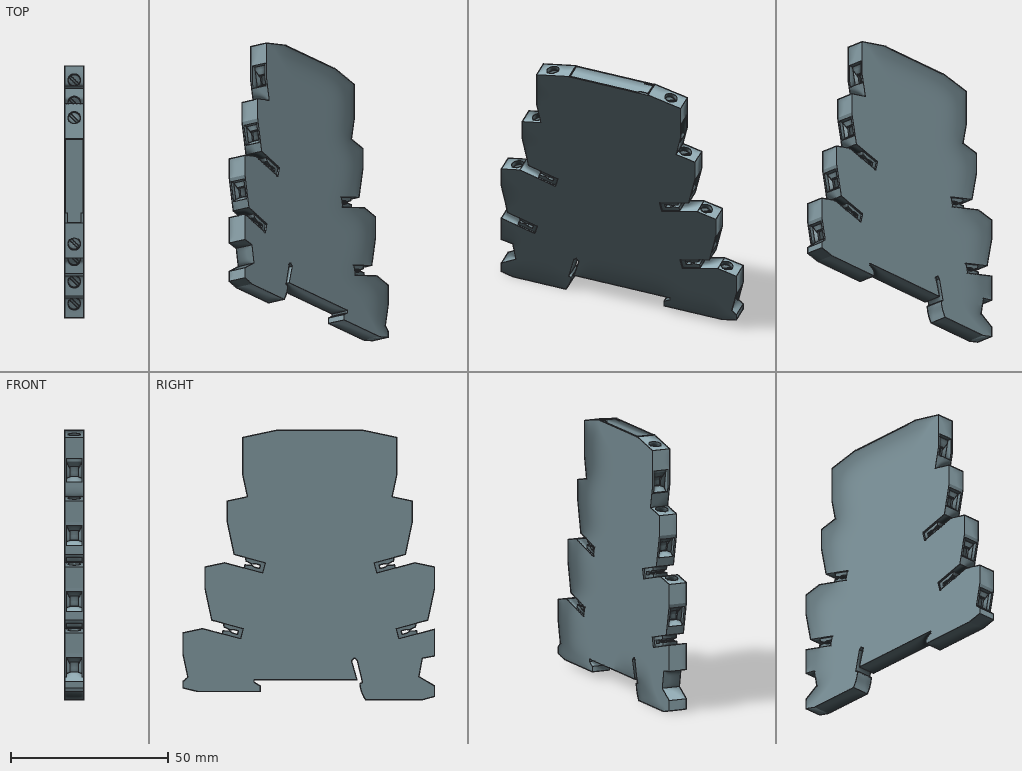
import cadquery as cq
import math

WIDTH = 6.1
LENGTH = 80.0
HEIGHT = 85.7
ROOF_HALF = 13.4
SHOULDER_ANGLE = 12.0
FACE_TAPER = 12.0
TIER_STEP_Y = 7.0
TIER_PITCH = 20.9

BASE_HALF = 43.5
BASE_CORNER_Z = 21.3
TOP_HALF = 24.5
TIER_1 = (TOP_HALF, HEIGHT - (TOP_HALF - ROOF_HALF) * math.tan(math.radians(SHOULDER_ANGLE)))
TIER_2 = (29.4, 63.15)
TIER_3 = (BASE_HALF - TIER_STEP_Y, BASE_CORNER_Z + TIER_PITCH)
TIER_4 = (BASE_HALF, BASE_CORNER_Z)
TOP_BEND_DROP = 11.8
BEND_DROP = 6.7
TOP_FACE_BOTTOM = 64.45
CREST_INSET = 6.3

SLOT_ANGLE = 15.0
SLOT_DEPTH = 12.5
SLOT_HEIGHT = 3.3
CLIP_WIDTH = 4.9
CLIP_LOWER_LENGTH = 6.1
CLIP_UPPER_LENGTH = 6.6
CLIP_LEG = 1.1
CLIP_BACK = 1.35
CLIP_BUMP = 0.4
BUMP_START, BUMP_PEAK, BUMP_END = 3.0, 4.0, 5.6

FIXED_SIDE_Y = -BASE_HALF
LATCH_SIDE_Y = LENGTH - BASE_HALF
RAIL_TOP_Z = 6.35
FIXED_FOOT_Z = 2.6
HOOK_TIP = (-18.85, 4.4)
HOOK_ROOT = (-20.85, 5.6)
SLIT_MOUTH_Y = 11.85
SLIT_END = [(10.1, 12.4), (11.05, 13.3), (11.85, 12.6)]
LATCH_NECK = (13.55, 5.5)
LATCH_TIP = (12.7, 5.2)
LATCH_NOSE = (13.3, 2.4)
LATCH_TOE_Y = 14.55
FIXED_EDGE_Z = 3.75
LATCH_EDGE_Z = 4.4
FOOT_TAPER_Y = 4.8
LATCH_UNDERSIDE = [(32.55, 0), (LATCH_SIDE_Y, 1.05)]
LATCH_GRIP = [(31.5, 7.4), (32.6, 13.2)]
LATCH_CEILING_Z = 13.9

SCREW_INSET = 4.4
SCREW_DIAMETER = 3.9
SCREW_RECESS = 1.5
DRIVER_SLOT_WIDTH = 0.8
DRIVER_SLOT_DEPTH = 0.5
DRIVER_SLOT_TURN = 45.0

ENTRY_WIDTH = 4.9
ENTRY_TOP_DROP = 7.8
TOP_TIER_ENTRY_DROP = 6.7
SILL_DROP = 14.1
SILL_ANGLE = 48.0
RECESS_DEPTH = 1.45
FUNNEL_DEPTH = 0.66
FUNNEL_TOP_ANGLE = 16.0
WINDOW_WIDTH = 2.6
WINDOW_TOP_DROP = 9.3
WINDOW_BOTTOM_DROP = 12.4
WINDOW_DEPTH = 1.5
WINDOW_LOWER_TAPER = 6.0

COVER_EDGE = 0.25
COVER_STEP = 0.15
COVER_TAB_WIDTH = 4.4
COVER_TAB_LENGTH = 3.0


def tan(angle):
    return math.tan(math.radians(angle))


def crest(tier):
    half, corner_z = tier
    return (half - CREST_INSET, corner_z + CREST_INSET * tan(SHOULDER_ANGLE))


def slot_point(tier, along, across):
    """Point in the slot above a tier: along from the slot end outward, across from its floor."""
    crest_y, crest_z = crest(tier)
    c = math.cos(math.radians(SLOT_ANGLE))
    s = math.sin(math.radians(SLOT_ANGLE))
    distance = along - SLOT_DEPTH
    return (crest_y + distance * c - across * s, crest_z + distance * s + across * c)


def lower_corner(tier, tier_below):
    """Where the leaning face of a tier meets the ceiling of the slot below it."""
    half, corner_z = tier
    bend_z = corner_z - BEND_DROP
    y, z = slot_point(tier_below, 0, SLOT_HEIGHT)
    lean = tan(FACE_TAPER)
    run = (half - (bend_z - z) * lean - y) / (1 - tan(SLOT_ANGLE) * lean)
    return (y + run, z + run * tan(SLOT_ANGLE))


def slotted_tier(tier, tier_below):
    half, corner_z = tier
    return [
        (half, corner_z),
        (half, corner_z - BEND_DROP),
        lower_corner(tier, tier_below),
        slot_point(tier_below, 0, SLOT_HEIGHT),
        slot_point(tier_below, 0, 0),
    ]


def upper_side():
    """Stepped edge of one side, from the roof down to the end of the lowest slot."""
    half_1, corner_1 = TIER_1
    half_2, corner_2 = TIER_2
    bend_1 = corner_1 - TOP_BEND_DROP
    neck = half_1 - (bend_1 - TOP_FACE_BOTTOM) * tan(FACE_TAPER)
    points = [
        (ROOF_HALF, HEIGHT),
        (half_1, corner_1),
        (half_1, bend_1),
        (neck, corner_2 + (half_2 - neck) * tan(SHOULDER_ANGLE)),
    ]
    points += slotted_tier(TIER_2, TIER_3)
    points.append(crest(TIER_3))
    points += slotted_tier(TIER_3, TIER_4)
    return points


def housing():
    side = upper_side()
    sill_z = BASE_CORNER_Z - SILL_DROP
    notch_depth = face_depth(SILL_DROP)
    fixed_side = [(-y, z) for y, z in side + [crest(TIER_4)]] + [
        (FIXED_SIDE_Y, BASE_CORNER_Z),
        (FIXED_SIDE_Y, BASE_CORNER_Z - BEND_DROP),
        (FIXED_SIDE_Y + notch_depth, sill_z),
        (FIXED_SIDE_Y, sill_z - notch_depth / tan(SILL_ANGLE)),
        (FIXED_SIDE_Y, FIXED_EDGE_Z),
        (FIXED_SIDE_Y + FOOT_TAPER_Y, FIXED_FOOT_Z),
        (HOOK_TIP[0], FIXED_FOOT_Z),
        HOOK_TIP,
        HOOK_ROOT,
        (HOOK_ROOT[0], RAIL_TOP_Z),
    ]
    latch_slit = [(SLIT_MOUTH_Y, RAIL_TOP_Z)] + SLIT_END + [LATCH_NECK, LATCH_TIP]
    cut_off_z = crest(TIER_4)[1] - (crest(TIER_4)[0] - LATCH_SIDE_Y) * tan(SLOT_ANGLE)
    latch_side = LATCH_UNDERSIDE + [(LATCH_SIDE_Y, LATCH_EDGE_Z)] + LATCH_GRIP
    latch_side += [(LATCH_SIDE_Y, LATCH_CEILING_Z), (LATCH_SIDE_Y, cut_off_z)]
    profile = cq.Workplane("YZ").polyline(fixed_side + latch_slit)
    profile = profile.threePointArc(LATCH_NOSE, (LATCH_TOE_Y, 0))
    for point in latch_side + side[::-1]:
        profile = profile.lineTo(*point)
    return profile.close().extrude(WIDTH / 2, both=True)


def mirrored(shape):
    return shape.mirror("XZ")


def marker_clip(tier):
    """U-shaped clip with snap bumps, seated at the end of the slot above a tier."""
    bumped_edge = [
        (BUMP_END, CLIP_LEG),
        (BUMP_PEAK, CLIP_LEG + CLIP_BUMP),
        (BUMP_START, CLIP_LEG),
        (CLIP_BACK, CLIP_LEG),
    ]
    lower_leg = [(0, 0), (CLIP_LOWER_LENGTH, 0), (CLIP_LOWER_LENGTH, CLIP_LEG)] + bumped_edge
    upper_tip = CLIP_UPPER_LENGTH - CLIP_LEG * tan(SLOT_ANGLE + FACE_TAPER)
    upper_leg = [(0, 0), (CLIP_UPPER_LENGTH, 0), (upper_tip, CLIP_LEG)] + bumped_edge
    outline = lower_leg + [(along, SLOT_HEIGHT - across) for along, across in upper_leg[::-1]]
    points = [slot_point(tier, along, across) for along, across in outline]
    return cq.Workplane("YZ").polyline(points).close().extrude(CLIP_WIDTH / 2, both=True)


def screw_recess(tier, turn):
    """Round recess square to the sloped face, with a diagonal driver slot in its floor."""
    half, corner_z = tier
    center = (0, half - SCREW_INSET, corner_z + SCREW_INSET * tan(SHOULDER_ANGLE))
    slope = math.radians(SHOULDER_ANGLE)
    plane = cq.Plane(origin=center, xDir=(1, 0, 0), normal=(0, math.sin(slope), math.cos(slope)))
    face = cq.Workplane(plane)
    recess = face.circle(SCREW_DIAMETER / 2).extrude(SCREW_RECESS, both=True)
    slot = (
        face.workplane(offset=-SCREW_RECESS - DRIVER_SLOT_DEPTH)
        .transformed(rotate=(0, 0, turn))
        .rect(SCREW_DIAMETER, DRIVER_SLOT_WIDTH)
        .extrude(DRIVER_SLOT_DEPTH + SCREW_RECESS)
    )
    rod = face.workplane(offset=-2 * SCREW_RECESS).circle(SCREW_DIAMETER / 2).extrude(3 * SCREW_RECESS)
    return recess.union(slot.intersect(rod))


def face_depth(drop):
    return (drop - BEND_DROP) * tan(FACE_TAPER)


def recess_point(drop, below=0):
    """Depth and drop of a point a given depth below the leaning floor of the entry recess."""
    return (face_depth(drop) + RECESS_DEPTH + below, drop)


def sill_point(below=0):
    """Where the sill meets the recess floor, or a plane a given depth below it."""
    rise = (RECESS_DEPTH + below) / (tan(SILL_ANGLE) + tan(FACE_TAPER))
    return recess_point(SILL_DROP - rise, below)


def entry_prism(tier, outline, width):
    """Prism along X through an outline of depth and drop pairs."""
    half, corner_z = tier
    points = [(half - depth, corner_z - drop) for depth, drop in outline]
    return cq.Workplane("YZ").polyline(points).close().extrude(width / 2, both=True)


def wire_entry(tier, top_drop):
    """Leaning recess with a sloping sill, a funnel in its floor and a window in the funnel."""
    half, corner_z = tier
    recess = entry_prism(
        tier,
        [
            (0, top_drop),
            recess_point(top_drop),
            sill_point(),
            (face_depth(SILL_DROP), SILL_DROP),
            (0, SILL_DROP),
        ],
        ENTRY_WIDTH,
    )

    funnel_run = FUNNEL_DEPTH / math.cos(math.radians(FACE_TAPER))
    roof_rise = FUNNEL_DEPTH / tan(FUNNEL_TOP_ANGLE)
    funnel_profile = entry_prism(
        tier,
        [
            recess_point(ENTRY_TOP_DROP),
            recess_point(ENTRY_TOP_DROP + roof_rise, funnel_run),
            sill_point(funnel_run),
            sill_point(),
        ],
        ENTRY_WIDTH,
    )
    depth, drop = recess_point(SILL_DROP)
    lean = math.radians(FACE_TAPER)
    across_funnel = cq.Plane(
        origin=(0, half - depth, corner_z - drop),
        xDir=(1, 0, 0),
        normal=(0, math.sin(lean), math.cos(lean)),
    )
    funnel_sides = (
        cq.Workplane(across_funnel)
        .polyline(
            [
                (-ENTRY_WIDTH / 2, 0),
                (ENTRY_WIDTH / 2, 0),
                (WINDOW_WIDTH / 2, -FUNNEL_DEPTH),
                (-WINDOW_WIDTH / 2, -FUNNEL_DEPTH),
            ]
        )
        .close()
        .extrude(SILL_DROP)
    )

    middle_drop = (WINDOW_TOP_DROP + WINDOW_BOTTOM_DROP) / 2
    middle_depth = recess_point(middle_drop, WINDOW_DEPTH)[0]
    lower_lean = (WINDOW_BOTTOM_DROP - middle_drop) * tan(WINDOW_LOWER_TAPER)
    window = entry_prism(
        tier,
        [
            recess_point(WINDOW_TOP_DROP),
            recess_point(WINDOW_TOP_DROP, WINDOW_DEPTH),
            (middle_depth, middle_drop),
            (middle_depth + lower_lean, WINDOW_BOTTOM_DROP),
            recess_point(WINDOW_BOTTOM_DROP),
        ],
        WINDOW_WIDTH,
    )
    return recess.union(funnel_profile.intersect(funnel_sides)).union(window)


def roof_slab(width, start_y, end_y):
    """Thin slab just under the roof surface."""
    center = (0, (start_y + end_y) / 2, HEIGHT)
    return cq.Workplane("XY", origin=center).rect(width, end_y - start_y).extrude(-COVER_STEP)


def cover_step():
    """Shallow step that leaves the roof cover and its narrower tab standing."""
    tab_end = COVER_EDGE - ROOF_HALF
    cover_start = tab_end + COVER_TAB_LENGTH
    cover = roof_slab(WIDTH - 2 * COVER_EDGE, cover_start, ROOF_HALF - COVER_EDGE)
    tab = roof_slab(COVER_TAB_WIDTH, tab_end, cover_start)
    return roof_slab(WIDTH, -ROOF_HALF, ROOF_HALF).cut(cover).cut(tab)


body = housing()
for level in (TIER_3, TIER_4):
    clip = marker_clip(level)
    body = body.union(clip).union(mirrored(clip))
for level in (TIER_1, TIER_2, TIER_3, TIER_4):
    entry_top = TOP_TIER_ENTRY_DROP if level == TIER_1 else ENTRY_TOP_DROP
    entry = wire_entry(level, entry_top)
    body = body.cut(mirrored(entry)).cut(mirrored(screw_recess(level, DRIVER_SLOT_TURN)))
    if level != TIER_4:
        body = body.cut(entry).cut(screw_recess(level, -DRIVER_SLOT_TURN))
result = body.cut(cover_step())